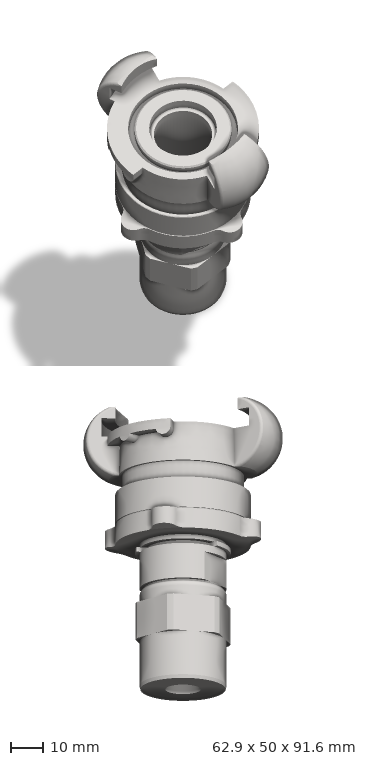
import cadquery as cq
import math

total_height = 91.6
claw_span = 62.9
claw_reach = claw_span / 2

tube_dia = 27.0
hex_flats = 27.0
hex_corner_dia = 30.0
hex_bottom, hex_top = 15.2, 26.8
foot_chamfer_height, foot_chamfer_width = 1.1, 0.3
tube_top = 32.0
tube_shoulder_radius = 2.0
joint_neck_dia = 24.5
joint_gap = 0.3

stem_bottom = tube_top + joint_gap
flats_top = 41.1
flats_across = 24.0
flats_turn = 18.0
groove_bottom, groove_top = 43.4, 44.9
groove_dia = 23.0
ring_dia = 29.7
ring_end_angle = 29.0

nut_bottom, nut_top = 46.2, 52.6
nut_dia = 42.1
lug_count = 4
lug_radius = 4.1
lug_reach = 25.0
lug_root_radius = 3.6
lug_bevel_top, lug_bevel_bottom = 0.4, 0.6

collar_top = 62.7
collar_chamfer = 0.2
collar_mouth_dia = 39.9
collar_mouth_depth = 1.8
seam_dia = 41.4
seam_height = 0.4
neck_dia = 38.0

head_bottom, head_top = 68.4, 80.9
head_bottom_dia, head_top_dia = 39.9, 39.2
flange_dia = 47.2
flange_bottom = 77.7
tooth_radius = 2.4
tooth_bottom = 75.9
middle_tooth_angle = 35.0
seal_groove_rim_dia, seal_groove_floor_dia = 34.1, 33.6
seal_groove_depth = 2.4
seal_dia = 30.0
seal_chamfer = 0.5
seal_bore_rim_dia, seal_bore_floor_dia = 21.0, 20.7
seal_bore_depth = 3.4

bore_dia = 18.0
throat_dia = 11.0
throat_top, cone_top = 36.35, 38.5

claw_tube_radius = 12.0
claw_crown_radius = 17.4
claw_root_radius = 18.3
claw_half_angle = 18.0
claw_axis_half_width = 1.2
claw_edge_radius = 0.9
lip_bottom = 86.7
lip_inner_dia = 42.2
lip_inner_radius = lip_inner_dia / 2
lip_crown_radius = 26.6
hook_inner_dia = 50.7


def cylinder(dia, bottom, top):
    return cq.Workplane("XY").workplane(offset=bottom).circle(dia / 2).extrude(top - bottom)


def cone(bottom_dia, top_dia, bottom, top):
    profile = [(0, bottom), (bottom_dia / 2, bottom), (top_dia / 2, top), (0, top)]
    return cq.Workplane("XZ").polyline(profile).close().revolve(360, (0, 0, 0), (0, 1, 0))


def half_turn(shape):
    return shape.rotate((0, 0, 0), (0, 0, 1), 180)


def make_tube():
    tube = cylinder(tube_dia, 0, tube_top).faces(">Z").edges().fillet(tube_shoulder_radius)
    foot_dia = tube_dia - 2 * foot_chamfer_width
    foot = cone(foot_dia, tube_dia, 0, foot_chamfer_height)
    tube = tube.intersect(foot.union(cylinder(tube_dia, foot_chamfer_height, tube_top)))
    corner_to_corner = hex_flats / math.cos(math.radians(30))
    hexagon = (
        cq.Workplane("XY").workplane(offset=hex_bottom)
        .polygon(6, corner_to_corner).extrude(hex_top - hex_bottom)
        .rotate((0, 0, 0), (0, 0, 1), 30)
        .intersect(cylinder(hex_corner_dia, hex_bottom, hex_top))
    )
    return tube.union(hexagon).union(cylinder(joint_neck_dia, hex_top, stem_bottom))


def make_stem():
    stem = cylinder(tube_dia, stem_bottom, nut_bottom)
    flats = (
        cq.Workplane("XY").workplane(offset=stem_bottom)
        .rect(flats_across, 2 * tube_dia).extrude(flats_top - stem_bottom)
        .rotate((0, 0, 0), (0, 0, 1), -flats_turn)
    )
    stem = stem.intersect(flats.union(cylinder(tube_dia, flats_top, nut_bottom)))
    ring = cylinder(ring_dia, groove_bottom, groove_top)
    stem = stem.cut(ring).union(cylinder(groove_dia, groove_bottom, groove_top))
    opening_x = ring_dia
    opening_y = opening_x * math.tan(math.radians(ring_end_angle))
    opening = (
        cq.Workplane("XY").workplane(offset=groove_bottom)
        .polyline([(0, 0), (opening_x, opening_y), (opening_x, ring_dia),
                   (-opening_x, ring_dia), (-opening_x, opening_y)])
        .close().extrude(groove_top - groove_bottom)
    )
    return stem.union(ring.cut(opening))


def make_nut():
    height = nut_top - nut_bottom
    nut = cylinder(nut_dia, nut_bottom, nut_top)
    lugs = (
        cq.Workplane("XY").workplane(offset=nut_bottom)
        .polarArray(lug_reach - lug_radius, 0, 360, lug_count)
        .circle(lug_radius).extrude(height)
    )
    nut = nut.union(lugs).edges("|Z").fillet(lug_root_radius)
    bevel = [
        (0, nut_bottom), (nut_dia / 2, nut_bottom), (lug_reach, nut_bottom + lug_bevel_bottom),
        (lug_reach, nut_top - lug_bevel_top), (nut_dia / 2, nut_top), (0, nut_top),
    ]
    envelope = cq.Workplane("XZ").polyline(bevel).close().revolve(360, (0, 0, 0), (0, 1, 0))
    return nut.intersect(envelope)


def make_collar():
    seam_top = nut_top + seam_height
    collar = cylinder(nut_dia, seam_top, collar_top).faces(">Z").edges().chamfer(collar_chamfer)
    seam = cylinder(seam_dia, nut_top, seam_top)
    mouth_floor = collar_top - collar_mouth_depth
    collar = collar.cut(cylinder(collar_mouth_dia, mouth_floor, collar_top))
    return collar.union(seam).union(cylinder(neck_dia, mouth_floor, head_bottom))


def make_tooth(angle):
    bar = (
        cq.Workplane("XZ").center(0, tooth_bottom + tooth_radius)
        .circle(tooth_radius).extrude(flange_dia)
    )
    return bar.rotate((0, 0, 0), (0, 0, 1), -angle)


def make_head():
    head = cone(head_bottom_dia, head_top_dia, head_bottom, head_top)
    tooth_middle = tooth_bottom + tooth_radius
    sector = (
        cq.Workplane("XY").workplane(offset=flange_bottom)
        .rect(-flange_dia / 2, -flange_dia / 2, centered=False).extrude(head_top - flange_bottom)
    )
    end_block = (
        cq.Workplane("XY").workplane(offset=tooth_middle)
        .rect(tooth_radius, -flange_dia / 2, centered=False).extrude(head_top - tooth_middle)
    )
    flange = sector.union(end_block).union(make_tooth(0)).union(make_tooth(middle_tooth_angle))
    flange = flange.intersect(cylinder(flange_dia, head_bottom, head_top))
    return head.union(flange).union(half_turn(flange))


def make_claw():
    arc_x = claw_reach - claw_tube_radius
    arc_z = total_height - math.sqrt(claw_tube_radius**2 - (lip_inner_radius - arc_x)**2)
    crown_x = claw_reach - claw_crown_radius
    arc_r = arc_x - crown_x
    bottom_r = arc_r + math.sqrt(claw_tube_radius**2 - (arc_z - head_bottom)**2)
    round_body = (
        cq.Workplane("XZ").moveTo(0, head_bottom).lineTo(bottom_r, head_bottom)
        .threePointArc((arc_r + claw_tube_radius, arc_z), (arc_r, arc_z + claw_tube_radius))
        .lineTo(0, arc_z + claw_tube_radius).close()
        .revolve(360, (0, 0, 0), (0, 1, 0))
        .translate((-crown_x, 0, 0))
    )
    wide_x = 2 * claw_reach
    wide_y = claw_axis_half_width + wide_x * math.tan(math.radians(claw_half_angle))
    wedge = (
        cq.Workplane("XY").workplane(offset=head_bottom)
        .polyline([(0, -claw_axis_half_width), (-wide_x, -wide_y),
                   (-wide_x, wide_y), (0, claw_axis_half_width)])
        .close().extrude(total_height)
    )
    claw = round_body.intersect(wedge)
    claw = claw.cut(cylinder(2 * claw_root_radius, head_bottom, 2 * total_height))
    claw = claw.edges(">Y or <Y").fillet(claw_edge_radius)
    crown = (
        cq.Workplane("YZ").center(0, total_height - lip_crown_radius)
        .circle(lip_crown_radius).extrude(-wide_x)
    )
    claw = claw.intersect(crown)
    claw = claw.cut(cylinder(hook_inner_dia, head_top, lip_bottom))
    return claw.cut(cylinder(lip_inner_dia, lip_bottom, 2 * total_height))


def cut_inside(body):
    groove_floor = head_top - seal_groove_depth
    seal = cylinder(seal_dia, groove_floor, head_top).faces(">Z").edges().chamfer(seal_chamfer)
    groove = cone(seal_groove_floor_dia, seal_groove_rim_dia, groove_floor, head_top)
    body = body.cut(groove.cut(seal))
    bore_floor = head_top - seal_bore_depth
    body = body.cut(cone(seal_bore_floor_dia, seal_bore_rim_dia, bore_floor, head_top))
    body = body.cut(cylinder(bore_dia, cone_top, head_top))
    body = body.cut(cone(throat_dia, bore_dia, throat_top, cone_top))
    return body.cut(cylinder(throat_dia, 0, throat_top))


claw = make_claw()
result = make_tube()
for piece in (make_stem(), make_nut(), make_collar(), make_head(), claw, half_turn(claw)):
    result = result.union(piece)
result = cut_inside(result)